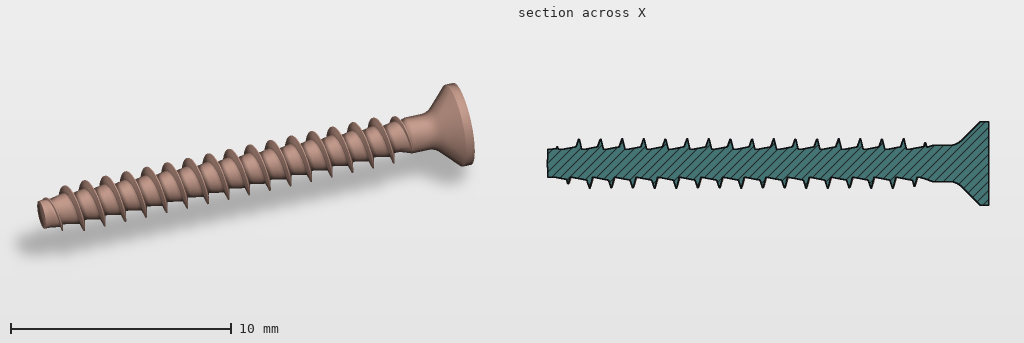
import cadquery as cq
import math

LENGTH = 20.0

HEAD_RADIUS = 1.9
HEAD_RIM_DEPTH = 0.4
COUNTERSINK_ANGLE = math.radians(45)
SHANK_RADIUS = 0.83
NECK_FILLET_RADIUS = 0.78
SHANK_END_DEPTH = 2.55
SHANK_CONE_DEPTH = 3.1

CORE_RADIUS = 0.645
TIP_POINT_HEIGHT = 0.03

PITCH = 0.98
CREST_RADIUS = 1.125
CREST_WIDTH = 0.04
ROOT_WIDTH = 0.28
ROOT_RADIUS = 0.765
TURN_GAP = 0.03
BASE_RADIUS = 0.55
ROOT_OVERLAP = 0.01

FIRST_CREST_DEPTH = 2.634
LEAD_IN_TURNS = 1
FULL_TURNS = 15.25
LEAD_OUT_TURNS = 1.36
LEAD_OUT_START = LEAD_IN_TURNS + FULL_TURNS
LEAD_IN_RISE = 0.22
LEAD_OUT_DROP = CREST_RADIUS - CORE_RADIUS
ROOT_DROP = ROOT_RADIUS - CORE_RADIUS

HALF_CREST = CREST_WIDTH / 2
HALF_ROOT = ROOT_WIDTH / 2
TAPER_END = PITCH - HALF_ROOT - TURN_GAP
TAPER_END_RADIUS = CORE_RADIUS - ROOT_OVERLAP


def revolve_about_y(profile):
    """Closed half profile in the XY plane turned a full turn about the Y axis."""
    return profile.close().revolve(360, (0, 0, 0), (0, 1, 0))


def make_screw_blank():
    """Unthreaded screw: head rim, countersink, neck fillet, shank, cone down to the core, and core."""
    fillet_rise = NECK_FILLET_RADIUS * (1 - math.cos(COUNTERSINK_ANGLE))
    fillet_length = NECK_FILLET_RADIUS * math.sin(COUNTERSINK_ANGLE)
    cone_end_radius = SHANK_RADIUS + fillet_rise
    cone_length = (HEAD_RADIUS - cone_end_radius) / math.tan(COUNTERSINK_ANGLE)
    cone_end_depth = HEAD_RIM_DEPTH + cone_length
    fillet_end_depth = cone_end_depth + fillet_length
    half_angle = COUNTERSINK_ANGLE / 2
    arc_middle_radius = SHANK_RADIUS + NECK_FILLET_RADIUS * (1 - math.cos(half_angle))
    arc_middle_depth = fillet_end_depth - NECK_FILLET_RADIUS * math.sin(half_angle)
    profile = (
        cq.Workplane("XY")
        .lineTo(HEAD_RADIUS, 0)
        .lineTo(HEAD_RADIUS, -HEAD_RIM_DEPTH)
        .lineTo(cone_end_radius, -cone_end_depth)
        .threePointArc((arc_middle_radius, -arc_middle_depth), (SHANK_RADIUS, -fillet_end_depth))
        .lineTo(SHANK_RADIUS, -SHANK_END_DEPTH)
        .lineTo(CORE_RADIUS, -SHANK_CONE_DEPTH)
        .lineTo(CORE_RADIUS, -(LENGTH - TIP_POINT_HEIGHT))
        .lineTo(0, -LENGTH)
    )
    return revolve_about_y(profile)


def full_section():
    """Corners (radius, depth from the crest) of the thread together with its root."""
    return [
        (BASE_RADIUS, -HALF_ROOT),
        (TAPER_END_RADIUS, -HALF_ROOT),
        (CREST_RADIUS, -HALF_CREST),
        (CREST_RADIUS, HALF_CREST),
        (ROOT_RADIUS, HALF_ROOT),
        (TAPER_END_RADIUS, TAPER_END),
        (BASE_RADIUS, TAPER_END),
    ]


def crest_section():
    """Corners of the thread alone, its flanks carried on into the core."""
    flank_slope = (HALF_ROOT - HALF_CREST) / (CREST_RADIUS - CORE_RADIUS)
    half_base = HALF_ROOT + flank_slope * (CORE_RADIUS - BASE_RADIUS)
    return [
        (BASE_RADIUS, -half_base),
        (CREST_RADIUS, -HALF_CREST),
        (CREST_RADIUS, HALF_CREST),
        (BASE_RADIUS, half_base),
    ]


def root_section():
    """Corners of the root alone, starting under the crest."""
    return [
        (BASE_RADIUS, 0),
        (ROOT_RADIUS, 0),
        (ROOT_RADIUS, HALF_ROOT),
        (TAPER_END_RADIUS, TAPER_END),
        (BASE_RADIUS, TAPER_END),
    ]


def sweep_stretch(corners, start_turn, turns, start_sink, end_sink):
    """Section swept along part of the thread while it sinks evenly from start_sink to end_sink."""
    section = cq.Workplane("XZ").polyline([(radius - start_sink, depth) for radius, depth in corners])
    height = PITCH * turns
    cone_angle = math.atan2(start_sink - end_sink, height)
    slant = 1 / math.cos(cone_angle)
    helix_angle = math.degrees(cone_angle) or 360
    helix = cq.Wire.makeHelix(
        PITCH * slant, height * slant, CREST_RADIUS - start_sink, angle=helix_angle
    )
    stretch = section.close().sweep(cq.Workplane(obj=helix), isFrenet=True)
    start_depth = FIRST_CREST_DEPTH + PITCH * start_turn
    stretch = stretch.rotate((0, 0, 0), (0, 0, 1), 360 * start_turn).translate((0, 0, start_depth))
    return stretch.rotate((0, 0, 0), (1, 0, 0), 90)


def make_lead_in():
    """First stretch of thread: the root at full size, the crest rising to its full height."""
    root = sweep_stretch(root_section(), 0, LEAD_IN_TURNS, 0, 0)
    crest = sweep_stretch(crest_section(), 0, LEAD_IN_TURNS, LEAD_IN_RISE, 0)
    return [root, crest]


def make_full_thread():
    """Stretch of thread at full height."""
    return [sweep_stretch(full_section(), LEAD_IN_TURNS, FULL_TURNS, 0, 0)]


def make_lead_out():
    """Last stretch of thread: root and crest both sink into the core, cut off at the tip face."""
    tip_face = cq.Workplane("XZ", origin=(0, TIP_POINT_HEIGHT - LENGTH, 0))
    beyond_tip = tip_face.circle(HEAD_RADIUS).extrude(2 * PITCH)
    root = sweep_stretch(root_section(), LEAD_OUT_START, LEAD_OUT_TURNS, 0, ROOT_DROP)
    crest = sweep_stretch(crest_section(), LEAD_OUT_START, LEAD_OUT_TURNS, 0, LEAD_OUT_DROP)
    return [root.cut(beyond_tip), crest.cut(beyond_tip)]


result = make_screw_blank()
for stretch in make_full_thread() + make_lead_in() + make_lead_out():
    result = result.union(stretch)